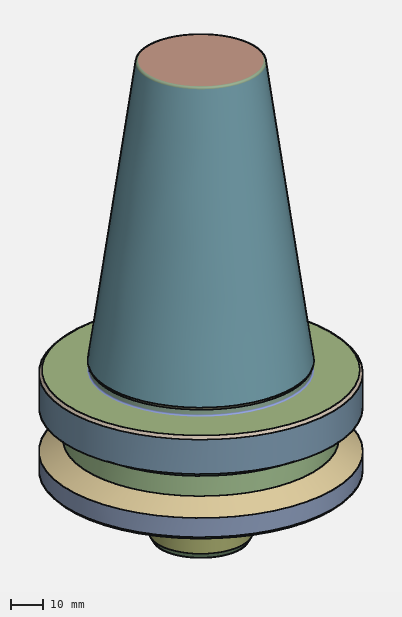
import cadquery as cq

total_height = 161.8
flange_bottom = 22.0
flange_top = 57.0
gauge_plane = 60.0

taper_rate = 7 / 24
gauge_radius = 35.0
tip_radius = gauge_radius - (total_height - gauge_plane) * taper_rate / 2
tip_round = 0.8

neck_radius = 34.5
neck_shoulder = 1.0
neck_fillet = 0.5

flange_radius = 50.0
flange_chamfer = 1.0
groove_radius = 42.5
groove_center = 36.9
groove_floor_width = 6.8
groove_mouth_width = 14.9

pilot_radius = 16.0
pilot_chamfer_height = 2.0
pilot_chamfer_width = 1.1
pilot_fillet = 2.0


def revolve_profile(points):
    """Revolve a closed (radius, height) outline about the Z axis."""
    return cq.Workplane("XZ").polyline(points).close().revolve(360, (0, 0), (0, 1))


def make_cylinder(radius, bottom, top):
    return cq.Workplane("XY").workplane(offset=bottom).circle(radius).extrude(top - bottom)


def make_taper():
    taper = revolve_profile([
        (0, gauge_plane - neck_shoulder),
        (neck_radius, gauge_plane - neck_shoulder),
        (gauge_radius, gauge_plane),
        (tip_radius, total_height),
        (0, total_height),
    ])
    return taper.faces(">Z").edges().fillet(tip_round)


def make_flange():
    blank = make_cylinder(flange_radius, flange_bottom, flange_top)
    blank = blank.faces("<Z or >Z").edges().chamfer(flange_chamfer)
    groove = revolve_profile([
        (groove_radius, groove_center - groove_floor_width / 2),
        (flange_radius, groove_center - groove_mouth_width / 2),
        (flange_radius, groove_center + groove_mouth_width / 2),
        (groove_radius, groove_center + groove_floor_width / 2),
    ])
    return blank.cut(groove)


def make_neck():
    """Relief neck with a concave fillet where it meets the flange."""
    outline = (
        cq.Workplane("XZ")
        .moveTo(0, flange_top)
        .lineTo(neck_radius + neck_fillet, flange_top)
        .radiusArc((neck_radius, flange_top + neck_fillet), neck_fillet)
        .lineTo(neck_radius, gauge_plane - neck_shoulder)
        .lineTo(0, gauge_plane - neck_shoulder)
        .close()
    )
    return outline.revolve(360, (0, 0), (0, 1))


def make_pilot():
    """Spigot with a chamfered end and a concave fillet at the flange."""
    outline = (
        cq.Workplane("XZ")
        .lineTo(pilot_radius - pilot_chamfer_width, 0)
        .lineTo(pilot_radius, pilot_chamfer_height)
        .lineTo(pilot_radius, flange_bottom - pilot_fillet)
        .radiusArc((pilot_radius + pilot_fillet, flange_bottom), pilot_fillet)
        .lineTo(0, flange_bottom)
        .close()
    )
    return outline.revolve(360, (0, 0), (0, 1))


result = make_flange().union(make_pilot()).union(make_neck()).union(make_taper())